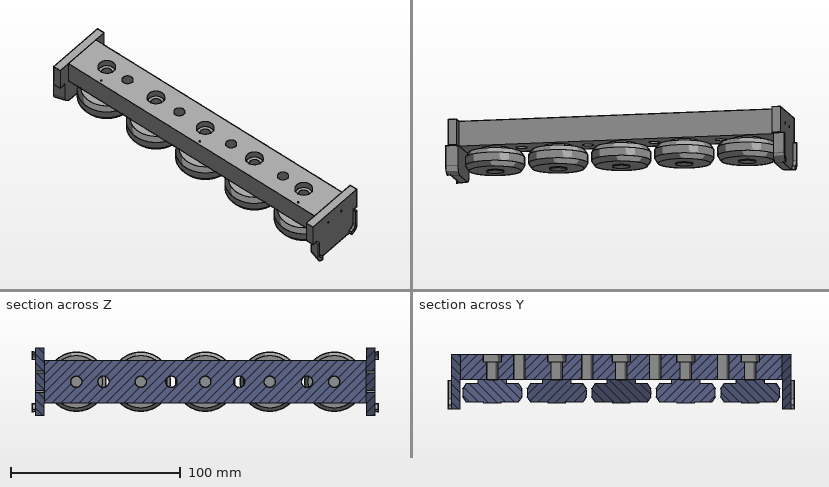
import cadquery as cq
RAIL_LENGTH = 190.0
RAIL_WIDTH = 25.0
RAIL_HEIGHT = 14.9

MOUNT_HOLE_DIAMETER = 6.5
MOUNT_HOLE_COUNT = 4
MOUNT_HOLE_PITCH = 40.0

ROLLER_COUNT = 5
ROLLER_PITCH = RAIL_LENGTH / ROLLER_COUNT
ROLLER_DIAMETER = 35.0
ROLLER_TOP_Z = -17.1
ROLLER_BOTTOM_Z = -28.2
ROLLER_FACE_DIAMETER = 30.8
SHOULDER_HEIGHT = 3.0
SHOULDER_BULGE = 0.1
CROWN_BULGE = 0.06
COLLAR_DIAMETER = 17.0
HUB_DIAMETER = 10.5
HUB_HEIGHT = 0.6

ROLLER_HOLE_DIAMETER = 6.5
COUNTERBORE_DIAMETER = 10.5
COUNTERBORE_DEPTH = 4.5

MARK_DIAMETER = 1.0
MARK_DEPTH = 1.0
MARK_COUNT = 3
MARK_PITCH = 2 * ROLLER_PITCH
MARK_OFFSET_X = 4.5
MARK_OFFSET_Y = -10.5

OVERALL_LENGTH = 204
PLATE_THICKNESS = 5.0
HEAD_WIDTH = 40.0
HEAD_HEIGHT = 15.3
PLATE_HEIGHT = 32.2
APRON_OUTER_WIDTH = 36.0
APRON_INNER_WIDTH = 31.5
APRON_CORNER_RADIUS = 5.0

LIP_SIDE_THICKNESS = 1.6
LIP_LOWER_THICKNESS = 2.2
LIP_INNER_RADIUS = 4.0

PLATE_HOLE_DIAMETER = 1.0
PLATE_HOLE_COUNT = 2
PLATE_HOLE_SPACING = 11.6

RAIL_END_X = RAIL_LENGTH / 2
PLATE_FACE_X = RAIL_END_X + PLATE_THICKNESS
LIP_END_X = OVERALL_LENGTH / 2


def centred_positions(count, pitch):
    """Evenly spaced positions, symmetric about zero."""
    return [(i - (count - 1) / 2) * pitch for i in range(count)]


ROLLER_XS = centred_positions(ROLLER_COUNT, ROLLER_PITCH)
MOUNT_HOLE_XS = centred_positions(MOUNT_HOLE_COUNT, MOUNT_HOLE_PITCH)
MARK_XS = [MARK_OFFSET_X + x for x in centred_positions(MARK_COUNT, MARK_PITCH)]


def make_rail():
    """Bar with counterbored holes, mounting holes and marking holes, all opening on its top face."""
    bar = cq.Workplane("XY").box(RAIL_LENGTH, RAIL_WIDTH, RAIL_HEIGHT, centered=(True, True, False))
    bar = bar.translate((0, 0, -RAIL_HEIGHT))
    top = cq.Workplane("XY")
    roller_holes = top.pushPoints([(x, 0) for x in ROLLER_XS])
    bar = bar.cut(roller_holes.circle(ROLLER_HOLE_DIAMETER / 2).extrude(-RAIL_HEIGHT))
    bar = bar.cut(roller_holes.circle(COUNTERBORE_DIAMETER / 2).extrude(-COUNTERBORE_DEPTH))
    mount_holes = top.pushPoints([(x, 0) for x in MOUNT_HOLE_XS])
    bar = bar.cut(mount_holes.circle(MOUNT_HOLE_DIAMETER / 2).extrude(-RAIL_HEIGHT))
    marks = top.pushPoints([(x, MARK_OFFSET_Y) for x in MARK_XS])
    return bar.cut(marks.circle(MARK_DIAMETER / 2).extrude(-MARK_DEPTH))


def make_roller(x):
    """Roller turned about a vertical axis, with crowned rim, rounded shoulders, collar and hub."""
    collar_radius = COLLAR_DIAMETER / 2
    face_radius = ROLLER_FACE_DIAMETER / 2
    rim_radius = ROLLER_DIAMETER / 2 - CROWN_BULGE
    hub_radius = HUB_DIAMETER / 2
    hub_bottom_z = ROLLER_BOTTOM_Z - HUB_HEIGHT
    half_profile = (
        cq.Workplane("XZ")
        .moveTo(0, -RAIL_HEIGHT)
        .lineTo(collar_radius, -RAIL_HEIGHT)
        .lineTo(collar_radius, ROLLER_TOP_Z)
        .lineTo(face_radius, ROLLER_TOP_Z)
        .sagittaArc((rim_radius, ROLLER_TOP_Z - SHOULDER_HEIGHT), SHOULDER_BULGE)
        .sagittaArc((rim_radius, ROLLER_BOTTOM_Z + SHOULDER_HEIGHT), CROWN_BULGE)
        .sagittaArc((face_radius, ROLLER_BOTTOM_Z), SHOULDER_BULGE)
        .lineTo(hub_radius, ROLLER_BOTTOM_Z)
        .lineTo(hub_radius, hub_bottom_z)
        .lineTo(0, hub_bottom_z)
        .close()
    )
    return half_profile.revolve(360, (0, 0), (0, 1)).translate((x, 0, 0))


def end_block(start_x, end_x, width, top_z, bottom_z):
    """Block centred on the XZ plane, between two X positions and two heights."""
    block = cq.Workplane("XY").box(end_x - start_x, width, top_z - bottom_z, centered=(False, True, False))
    return block.translate((start_x, 0, bottom_z))


def make_apron():
    """Solid apron with rounded lower corners, its sides spreading apart towards the outer end."""
    plan = [
        (RAIL_END_X, -APRON_INNER_WIDTH / 2),
        (LIP_END_X, -APRON_OUTER_WIDTH / 2),
        (LIP_END_X, APRON_OUTER_WIDTH / 2),
        (RAIL_END_X, APRON_INNER_WIDTH / 2),
    ]
    apron = cq.Workplane("XY", origin=(0, 0, -PLATE_HEIGHT)).polyline(plan).close()
    apron = apron.extrude(PLATE_HEIGHT - HEAD_HEIGHT)
    return apron.faces("<Z").edges("not |Y").fillet(APRON_CORNER_RADIUS)


def make_lip_opening():
    """Space between the lips in front of the plate face: wide with rounded corners, then narrow below."""
    upper_width = APRON_OUTER_WIDTH - 2 * LIP_SIDE_THICKNESS
    upper_bottom_z = LIP_LOWER_THICKNESS - PLATE_HEIGHT
    upper = end_block(PLATE_FACE_X, LIP_END_X, upper_width, -HEAD_HEIGHT, upper_bottom_z)
    upper = upper.edges("|X and <Z").fillet(LIP_INNER_RADIUS)
    lower_width = APRON_OUTER_WIDTH - 2 * APRON_CORNER_RADIUS
    lower = end_block(PLATE_FACE_X, LIP_END_X, lower_width, -HEAD_HEIGHT, -PLATE_HEIGHT)
    return upper.union(lower)


def make_end_plate():
    """End plate at the +X end: wide head, apron with raised side lips and two small holes."""
    head = end_block(RAIL_END_X, PLATE_FACE_X, HEAD_WIDTH, 0, -HEAD_HEIGHT)
    plate = head.union(make_apron().cut(make_lip_opening()))
    holes = (
        cq.Workplane("YZ", origin=(RAIL_END_X, 0, -RAIL_HEIGHT / 2))
        .pushPoints([(y, 0) for y in centred_positions(PLATE_HOLE_COUNT, PLATE_HOLE_SPACING)])
        .circle(PLATE_HOLE_DIAMETER / 2)
        .extrude(PLATE_THICKNESS)
    )
    return plate.cut(holes)


rail = make_rail()
rollers = [make_roller(x) for x in ROLLER_XS]
right_plate = make_end_plate()
left_plate = right_plate.mirror("YZ")

result = cq.Compound.makeCompound(
    [rail.val(), left_plate.val(), right_plate.val(), *[roller.val() for roller in rollers]]
)